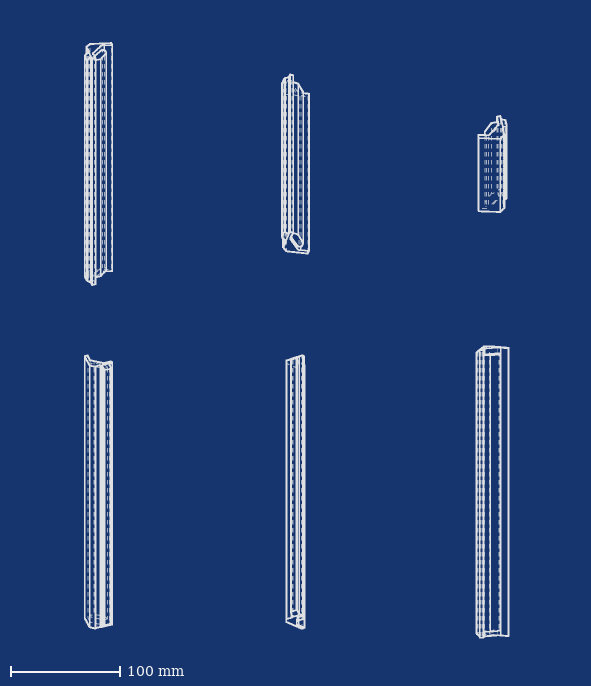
import cadquery as cq
import math

length = 267.5
width = 21.1
depth = 27.8

flange_back = 7.2
flange_front = 4.0
heel_y = 8.8
heel_bevel_x = 3.2
wall_tip_x = 4.8
wall_tip_width = 3.2
web_foot_x = 13.6
groove_start_x = 3.7
groove_end_x = 8.8
groove_depth = 0.5

seat_diameter = 4.8
seat_x = 8.0
seat_y = 18.7

rib_left = 10.5
rib_right = 17.7
rib_bevel = 0.8
rib_end_slope = 3.5

insert_end_gap = 5.4
insert_top_x = 10.7
insert_shoulder_y = 13.5

seat_radius = seat_diameter / 2
seat_top_y = seat_y + seat_radius
wall_lean = wall_tip_x / (depth - heel_y)


def tangent_point(foot_x, foot_y):
    """Point where a line from the web foot touches the lower left of the seat."""
    offset_x = foot_x - seat_x
    offset_y = foot_y - seat_y
    foot_distance = math.hypot(offset_x, offset_y)
    angle = math.atan2(offset_y, offset_x) - math.acos(seat_radius / foot_distance)
    return seat_x + seat_radius * math.cos(angle), seat_y + seat_radius * math.sin(angle)


web_top = tangent_point(web_foot_x, flange_back)
seat_left = (seat_x - seat_radius, seat_y)
seat_top = (seat_x, seat_top_y)


def make_rail():
    wall_inner_x = wall_tip_x + wall_tip_width
    wall_root_y = seat_y + seat_radius * math.sin(math.radians(45))
    wall_root_x = wall_inner_x - wall_lean * (depth - wall_root_y)
    groove_floor = flange_front + groove_depth
    return (
        cq.Workplane("XY")
        .moveTo(0, heel_y)
        .lineTo(wall_tip_x, depth)
        .lineTo(wall_inner_x, depth)
        .lineTo(wall_root_x, wall_root_y)
        .threePointArc(seat_left, web_top)
        .lineTo(web_foot_x, flange_back)
        .lineTo(width, flange_back)
        .lineTo(width, flange_front)
        .lineTo(groove_end_x, flange_front)
        .lineTo(groove_end_x, groove_floor)
        .lineTo(groove_start_x, groove_floor)
        .lineTo(groove_start_x, flange_front)
        .lineTo(heel_bevel_x, flange_front)
        .close()
        .extrude(length)
    )


def make_insert():
    return (
        cq.Workplane("XY", origin=(0, 0, insert_end_gap))
        .moveTo(*web_top)
        .threePointArc(seat_left, seat_top)
        .lineTo(insert_top_x, seat_top_y)
        .lineTo(rib_right, insert_shoulder_y)
        .lineTo(rib_right, flange_back)
        .lineTo(web_foot_x, flange_back)
        .close()
        .extrude(length - 2 * insert_end_gap)
    )


def make_rib():
    section = (
        cq.Workplane("XY")
        .moveTo(rib_left, flange_front)
        .lineTo(rib_left, rib_bevel)
        .lineTo(rib_left + rib_bevel, 0)
        .lineTo(rib_right - rib_bevel, 0)
        .lineTo(rib_right, rib_bevel)
        .lineTo(rib_right, flange_front)
        .close()
        .extrude(length)
    )
    sloped_ends = (
        cq.Workplane("YZ", origin=(rib_left, 0, 0))
        .moveTo(flange_front, 0)
        .lineTo(0, rib_end_slope)
        .lineTo(0, length - rib_end_slope)
        .lineTo(flange_front, length)
        .close()
        .extrude(rib_right - rib_left)
    )
    return section.intersect(sloped_ends)


result = make_rail().union(make_insert()).union(make_rib())